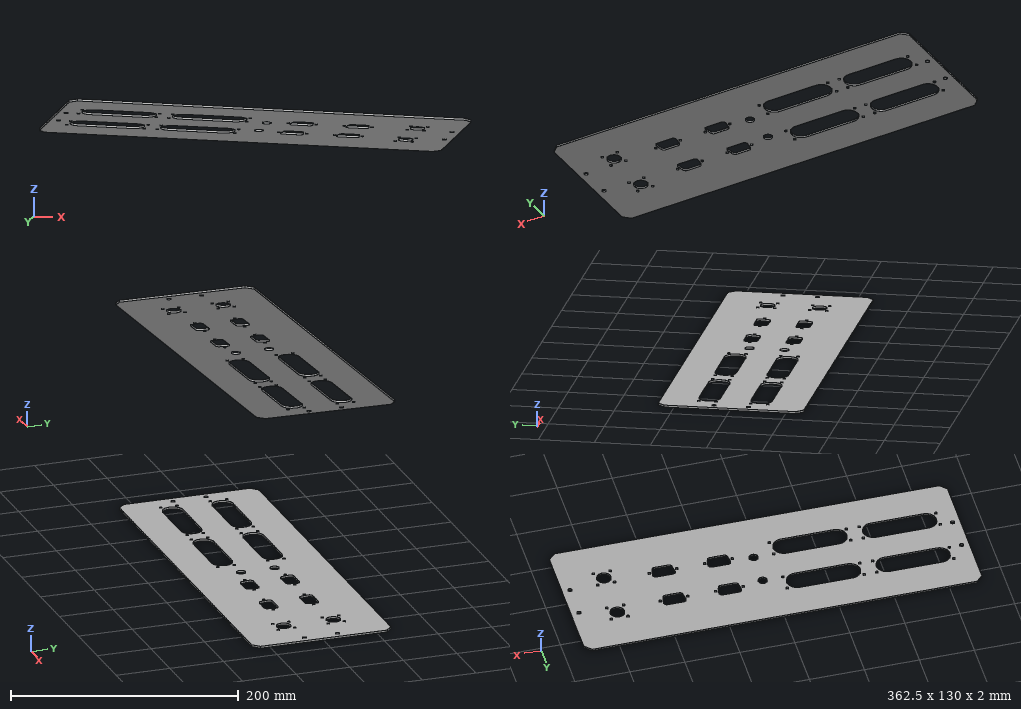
import cadquery as cq

length = 362.5
width = 130.0
thickness = 2.0
corner_chamfer = 6.0

mount_diameter = 3.5
mount_pitch_x = 348.0
mount_pitch_y = 30.8

slot_length = 66.7
slot_width = 19.0
slot_columns = (-128.0, -46.5)
slot_screw_diameter = 2.25
slot_screw_pitch_x = 70.0
slot_screw_pitch_y = 15.2

socket_diameter = 12.7
socket_x = 141.0
socket_screw_diameter = 2.25
socket_screw_pitch = 15.2
row_pitch = 46.5

button_diameter = 8.0
button_x = 7.0
button_pitch = 31.0

dsub_top_width = 21.5
dsub_bottom_width = 17.5
dsub_height = 12.5
dsub_corner_radius = 3.0
dsub_columns = (38.0, 88.5)
dsub_pitch_y = 37.7
dsub_screw_diameter = 2.25
dsub_screw_pitch = 25.0


def pair(pitch):
    """Two positions placed symmetrically about zero."""
    return (-pitch / 2, pitch / 2)


def grid(columns, rows):
    """Every combination of the given X and Y positions."""
    return [(x, y) for x in columns for y in rows]


def around(centers, offsets):
    """The offset pattern repeated about every center."""
    return [(x + dx, y + dy) for x, y in centers for dx, dy in offsets]


def round_cutters(points, diameter):
    return cq.Workplane("XY").pushPoints(points).circle(diameter / 2).extrude(thickness)


def slot_cutters(points):
    return cq.Workplane("XY").pushPoints(points).slot2D(slot_length, slot_width).extrude(thickness)


def dsub_cutter(x, y):
    half_top = dsub_top_width / 2
    half_bottom = dsub_bottom_width / 2
    half_height = dsub_height / 2
    outline = [
        (-half_top, half_height),
        (half_top, half_height),
        (half_bottom, -half_height),
        (-half_bottom, -half_height),
    ]
    opening = cq.Workplane("XY").polyline(outline).close().extrude(thickness)
    return opening.edges("|Z").fillet(dsub_corner_radius).translate((x, y, 0))


plate = cq.Workplane("XY").rect(length, width).extrude(thickness)
plate = plate.edges("|Z").chamfer(corner_chamfer)

mount_points = grid(pair(mount_pitch_x), pair(mount_pitch_y))
plate = plate.cut(round_cutters(mount_points, mount_diameter))

slot_centers = grid(slot_columns, pair(row_pitch))
slot_screw_offsets = grid(pair(slot_screw_pitch_x), pair(slot_screw_pitch_y))
plate = plate.cut(slot_cutters(slot_centers))
plate = plate.cut(round_cutters(around(slot_centers, slot_screw_offsets), slot_screw_diameter))

socket_centers = grid((socket_x,), pair(row_pitch))
socket_screw_offsets = grid(pair(socket_screw_pitch), pair(socket_screw_pitch))
plate = plate.cut(round_cutters(socket_centers, socket_diameter))
plate = plate.cut(round_cutters(around(socket_centers, socket_screw_offsets), socket_screw_diameter))

button_centers = grid((button_x,), pair(button_pitch))
plate = plate.cut(round_cutters(button_centers, button_diameter))

dsub_centers = grid(dsub_columns, pair(dsub_pitch_y))
dsub_screw_offsets = grid(pair(dsub_screw_pitch), (0,))
for center_x, center_y in dsub_centers:
    plate = plate.cut(dsub_cutter(center_x, center_y))
plate = plate.cut(round_cutters(around(dsub_centers, dsub_screw_offsets), dsub_screw_diameter))

result = plate